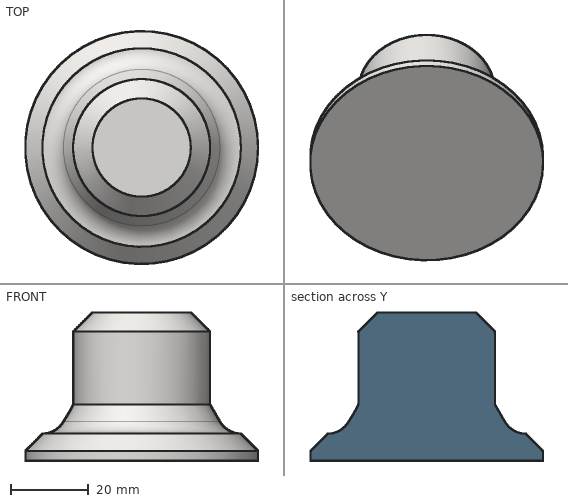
import cadquery as cq
import math

total_height = 38.2
base_radius = 30.0
rim_height = 2.6
base_chamfer = 4.45
post_radius = 17.65
post_chamfer = 5.0
cone_angle = math.radians(60)
fillet_radius = 6.25

shoulder_radius = base_radius - base_chamfer
shoulder_height = rim_height + base_chamfer


def fillet_point(angle):
    """Point on the fillet where its slope has risen to the given angle."""
    radius = shoulder_radius - fillet_radius * math.sin(angle)
    height = shoulder_height + fillet_radius * (1 - math.cos(angle))
    return radius, height


cone_foot_radius, cone_foot_height = fillet_point(cone_angle)
cone_top_height = cone_foot_height + (cone_foot_radius - post_radius) * math.tan(cone_angle)

profile = (
    cq.Workplane("XZ")
    .lineTo(base_radius, 0)
    .lineTo(base_radius, rim_height)
    .lineTo(shoulder_radius, shoulder_height)
    .threePointArc(fillet_point(cone_angle / 2), (cone_foot_radius, cone_foot_height))
    .lineTo(post_radius, cone_top_height)
    .lineTo(post_radius, total_height - post_chamfer)
    .lineTo(post_radius - post_chamfer, total_height)
    .lineTo(0, total_height)
    .close()
)

result = profile.revolve(360, (0, 0), (0, 1))